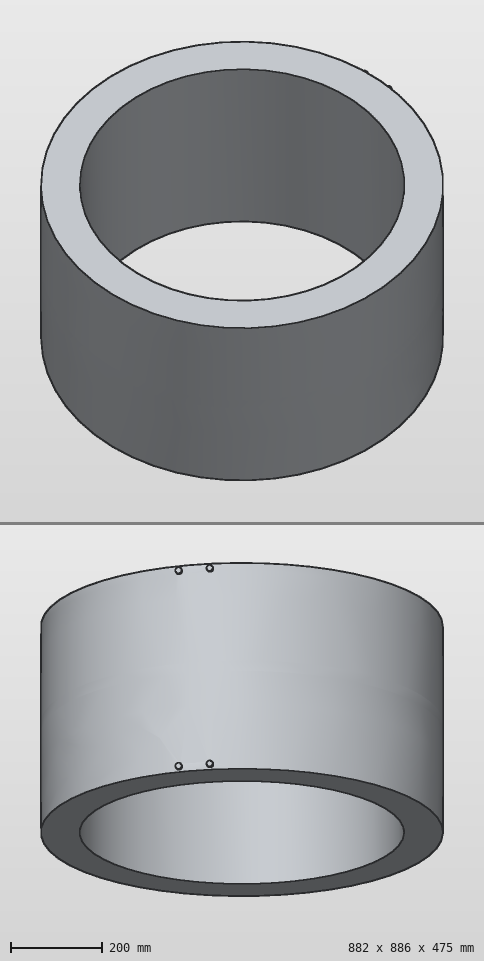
import cadquery as cq
import math

WIDTH = 475.0
BORE_RADIUS = 355.0
CROWN_RADIUS = 441.0
END_RADIUS = 440.0
BAND_WIDTH = 24.0

STUD_DIAMETER = 14.0
STUD_SPACING = 70.0
STUD_END_OFFSET = 12.0
STUD_TIP_Y = 445.0
STUD_EMBED = 10.0


def crown_arc_midpoint():
    """Point halfway along the lower crown arc, which is tangent to the central band."""
    drop = CROWN_RADIUS - END_RADIUS
    length = (WIDTH - BAND_WIDTH) / 2
    arc_radius = (length**2 + drop**2) / (2 * drop)
    half_angle = math.asin(length / arc_radius) / 2
    x = -CROWN_RADIUS + arc_radius * (1 - math.cos(half_angle))
    z = -BAND_WIDTH / 2 - arc_radius * math.sin(half_angle)
    return (x, z)


def crowned_ring():
    """Revolve the section: a flat central band, then a tangent arc falling away to each end."""
    half_width = WIDTH / 2
    half_band = BAND_WIDTH / 2
    return (
        cq.Workplane("XZ")
        .moveTo(-CROWN_RADIUS, -half_band)
        .lineTo(-CROWN_RADIUS, half_band)
        .tangentArcPoint((-END_RADIUS, half_width), relative=False)
        .lineTo(-BORE_RADIUS, half_width)
        .lineTo(-BORE_RADIUS, -half_width)
        .lineTo(-END_RADIUS, -half_width)
        .threePointArc(crown_arc_midpoint(), (-CROWN_RADIUS, -half_band))
        .close()
        .revolve(360, (0, 0), (0, 1))
    )


def studs():
    """A pair of studs near each end face, pointing along +Y."""
    root_y = END_RADIUS - STUD_EMBED
    row_spacing = WIDTH - 2 * STUD_END_OFFSET
    return (
        cq.Workplane("XZ", origin=(0, root_y, 0))
        .rarray(STUD_SPACING, row_spacing, 2, 2)
        .circle(STUD_DIAMETER / 2)
        .extrude(root_y - STUD_TIP_Y)
    )


result = crowned_ring().union(studs())